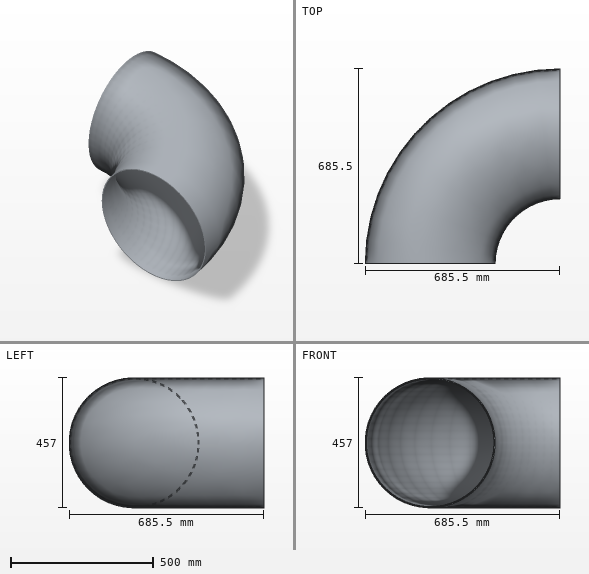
import cadquery as cq

overall_size = 685.5
wall = 4.0
bend_angle = 90.0

outer_diameter = overall_size / 1.5
outer_radius = outer_diameter / 2
inner_radius = outer_radius - wall
bend_radius = outer_diameter


def make_elbow():
    """Revolve the tube's ring section about the vertical bend axis at the origin."""
    ring = (
        cq.Workplane("XZ")
        .center(-bend_radius, 0)
        .circle(outer_radius)
        .circle(inner_radius)
    )
    axis_start = (bend_radius, 0)
    axis_end = (bend_radius, -1)
    return ring.revolve(bend_angle, axis_start, axis_end)


result = make_elbow()